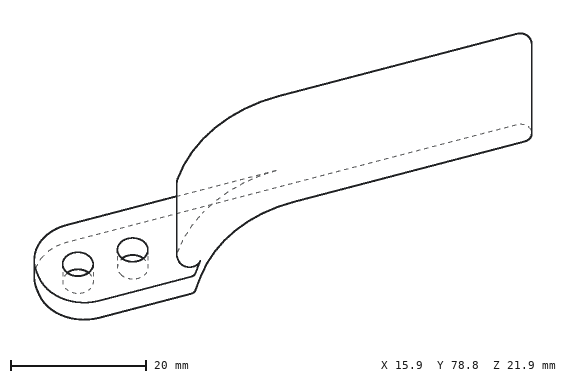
import cadquery as cq
import math

total_height = 21.9
plate_width = 15.15
plate_thickness = 4.0
plate_end_radius = 7.0
plate_corner_radius = 0.95
hole_diameter = 4.5
hole_distances = (6.2, 14.75)

wall_thickness = 3.5
wall_end_y = 78.6
wall_foot_y = 20.5
wall_corner_radius = 1.65
wall_top_radius = 1.0

inner_bend_start_y = 41.1
inner_bend_radius = 21.3
inner_bend_angle = math.radians(54.5)
outer_bend_start_y = 40.0
outer_bend_radius = 23.3
tilt_angle = 3.0

left_x = -plate_width / 2
right_x = plate_width / 2
wall_right_x = left_x + wall_thickness
outer_bend_angle = math.asin((outer_bend_start_y - wall_foot_y) / outer_bend_radius)


def bend_point(start, radius, angle):
    """Point on an arc that leaves the start along -Y and turns toward +X by the angle."""
    return (
        start[0] + radius * (1 - math.cos(angle)),
        start[1] - radius * math.sin(angle),
    )


inner_start = (wall_right_x, inner_bend_start_y)
inner_middle = bend_point(inner_start, inner_bend_radius, inner_bend_angle / 2)
inner_end = bend_point(inner_start, inner_bend_radius, inner_bend_angle)
outer_start = (left_x, outer_bend_start_y)
outer_middle = bend_point(outer_start, outer_bend_radius, outer_bend_angle / 2)
outer_end = bend_point(outer_start, outer_bend_radius, outer_bend_angle)

edge_slope = 1 / math.tan(inner_bend_angle)
plate_shoulder = (right_x, inner_end[1] - (right_x - inner_end[0]) * edge_slope)
wall_tip = (inner_end[0] + (inner_end[1] - wall_foot_y) / edge_slope, wall_foot_y)


def make_plate():
    plate = (
        cq.Workplane("XY")
        .moveTo(left_x, 0)
        .lineTo(right_x, 0)
        .lineTo(*plate_shoulder)
        .lineTo(*inner_end)
        .threePointArc(inner_middle, inner_start)
        .lineTo(left_x, inner_bend_start_y)
        .close()
        .extrude(plate_thickness)
    )
    plate = plate.edges("|Z and <Y").fillet(plate_end_radius)
    return plate.edges("|Z and >X").fillet(plate_corner_radius)


def make_wall():
    wall = (
        cq.Workplane("XY")
        .moveTo(left_x, wall_end_y)
        .lineTo(*outer_start)
        .threePointArc(outer_middle, outer_end)
        .lineTo(*wall_tip)
        .lineTo(*inner_end)
        .threePointArc(inner_middle, inner_start)
        .lineTo(wall_right_x, wall_end_y)
        .close()
        .extrude(total_height)
    )
    wall = wall.edges("|Z and (>Y or <Y)").fillet(wall_corner_radius)
    return wall.faces(">Z").edges().fillet(wall_top_radius)


def make_holes():
    return (
        cq.Workplane("XY")
        .pushPoints([(0, distance) for distance in hole_distances])
        .circle(hole_diameter / 2)
        .extrude(plate_thickness)
    )


upright_part = make_plate().union(make_wall()).cut(make_holes())
result = upright_part.rotate((0, 0, 0), (0, 0, 1), -tilt_angle)